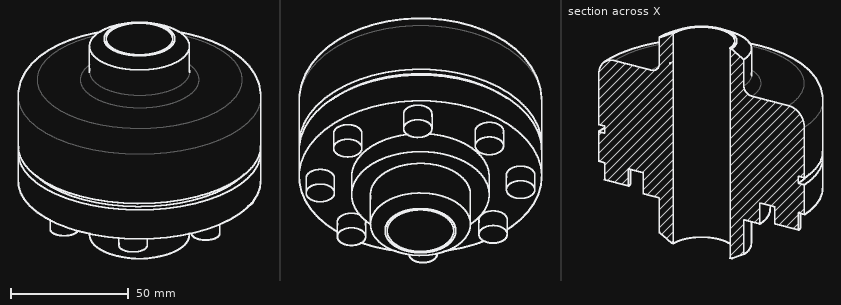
import cadquery as cq

body_diameter = 103.0
groove_diameter = 97.0
boss_diameter = 58.4
neck_diameter = 42.4
bore_diameter = 28.2

boss_bottom = 19.6
bolt_bottom = 21.4
flange_bottom = 29.4
groove_bottom = 43.4
groove_top = 46.5
body_top = 78.4
total_height = 98.0

body_fillet = 8.0
neck_fillet = 3.9
weld_bevel_height = 3.5
weld_bevel_width = 6.2

bolt_count = 8
bolt_diameter = 12.0
bolt_circle_radius = (groove_diameter - bolt_diameter) / 2


def cylinder(diameter, bottom, top):
    """Solid cylinder on the Z axis between two heights."""
    return cq.Workplane("XY").workplane(offset=bottom).circle(diameter / 2).extrude(top - bottom)


def make_neck(bottom, top, bevelled_face):
    """Pipe end with a weld bevel on its free face."""
    neck = cylinder(neck_diameter, bottom, top)
    return neck.faces(bevelled_face).chamfer(weld_bevel_height, weld_bevel_width)


def make_upper_body():
    """Rounded housing blended into the upper pipe end."""
    housing = cylinder(body_diameter, groove_top, body_top).faces(">Z").edges().fillet(body_fillet)
    neck_radius = neck_diameter / 2
    blend = (
        cq.Workplane("XZ")
        .moveTo(0, body_top)
        .lineTo(neck_radius + neck_fillet, body_top)
        .radiusArc((neck_radius, body_top + neck_fillet), neck_fillet)
        .lineTo(0, body_top + neck_fillet)
        .close()
        .revolve(360, (0, 0, 0), (0, 1, 0))
    )
    return housing.union(blend).union(make_neck(body_top, total_height, ">Z"))


def make_lower_body():
    """Bolted flange with its boss and the lower pipe end."""
    flange = cylinder(body_diameter, flange_bottom, groove_bottom)
    boss = cylinder(boss_diameter, boss_bottom, flange_bottom)
    return flange.union(boss).union(make_neck(0, boss_bottom, "<Z"))


def make_bolt_heads():
    """Ring of cylindrical bolt heads below the flange."""
    return (
        cq.Workplane("XY")
        .workplane(offset=bolt_bottom)
        .polarArray(bolt_circle_radius, 0, 360, bolt_count)
        .circle(bolt_diameter / 2)
        .extrude(flange_bottom - bolt_bottom)
    )


groove_core = cylinder(groove_diameter, groove_bottom, groove_top)
bore = cylinder(bore_diameter, 0, total_height)

result = make_lower_body().union(groove_core).union(make_upper_body()).union(make_bolt_heads()).cut(bore)